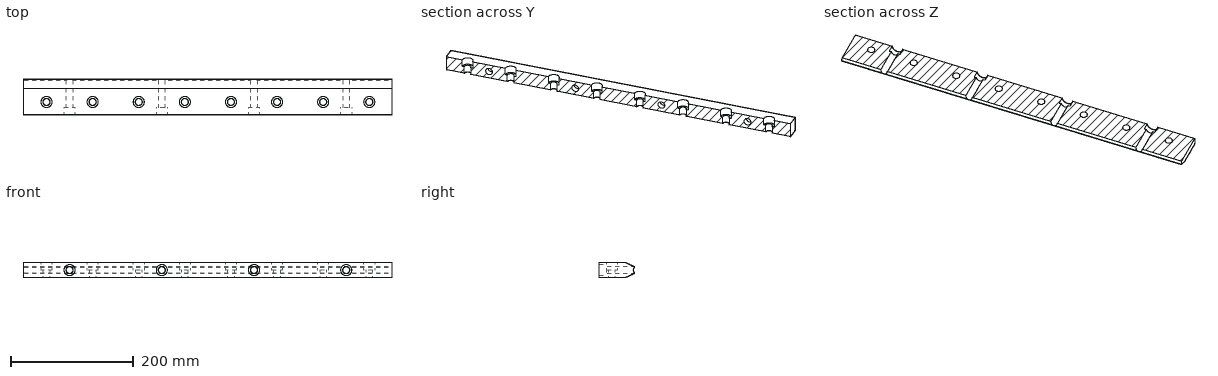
import cadquery as cq
import math

length = 599.5
depth = 58.04
thickness = 25.0

nose_depth = 15.0
nose_taper_angle = 25.0

groove_width = 9.0
groove_depth = 1.8

hole_diameter = 11.0
counterbore_diameter = 18.0
counterbore_depth = 12.0

top_hole_count = 8
top_hole_pitch = 75.0
top_hole_setback = 21.0

front_hole_count = 4
front_hole_pitch = 150.0

half_thickness = thickness / 2
front_y = -depth / 2
tip_y = depth / 2
shoulder_y = tip_y - nose_depth
tip_half_height = half_thickness - nose_depth * math.tan(math.radians(nose_taper_angle))


def make_bar():
    """Extrude the tapered profile, with its grooved tip, along X."""
    profile = (
        cq.Workplane("YZ")
        .moveTo(front_y, -half_thickness)
        .lineTo(shoulder_y, -half_thickness)
        .lineTo(tip_y, -tip_half_height)
        .lineTo(tip_y, -groove_width / 2)
        .threePointArc((tip_y - groove_depth, 0), (tip_y, groove_width / 2))
        .lineTo(tip_y, tip_half_height)
        .lineTo(shoulder_y, half_thickness)
        .lineTo(front_y, half_thickness)
        .close()
    )
    return profile.extrude(length / 2, both=True)


def hole_row(count, pitch, y):
    """Points spaced along X, the first half a pitch in from the -X end."""
    first_x = -length / 2 + pitch / 2
    return [(first_x + i * pitch, y) for i in range(count)]


def drill_row(body, face_plane, points):
    """Cut a row of counterbored through holes, entering through the given plane."""
    return (
        body.copyWorkplane(face_plane)
        .pushPoints(points)
        .cboreHole(hole_diameter, counterbore_diameter, counterbore_depth)
    )


top_plane = cq.Workplane("XY", origin=(0, 0, half_thickness))
top_points = hole_row(top_hole_count, top_hole_pitch, front_y + top_hole_setback)

front_plane = cq.Workplane("XZ", origin=(0, front_y, 0))
front_points = hole_row(front_hole_count, front_hole_pitch, 0)

result = make_bar()
result = drill_row(result, top_plane, top_points)
result = drill_row(result, front_plane, front_points)